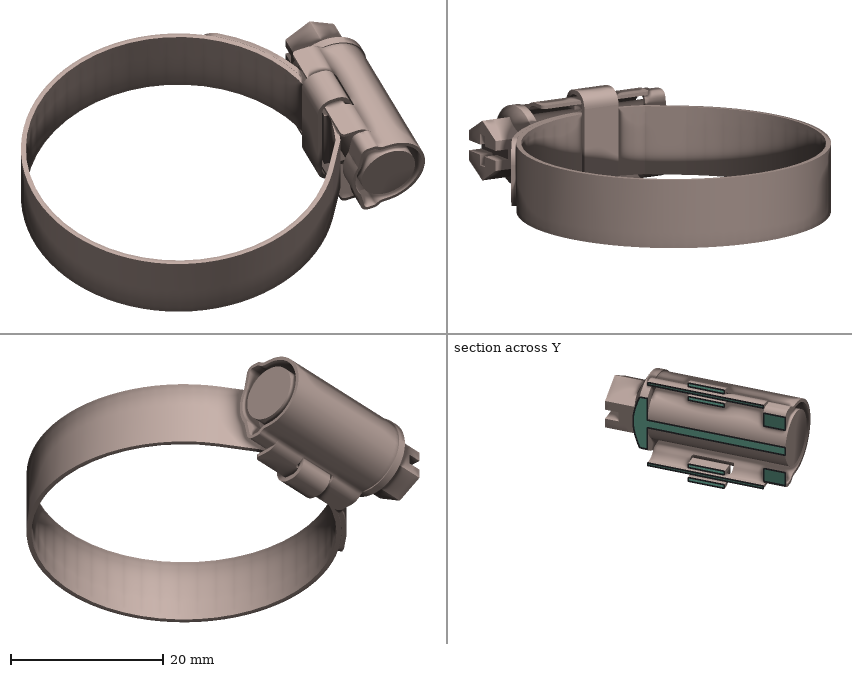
import cadquery as cq
import math


ring_radius = 20.7
band_thickness = 0.65
band_width = 9.2
lap_gap = 0.02
inner_end_angle = 83.0
ramp_start_angle = 360 + 55.0
ramp_end_angle = 360 + 70.3
tail_angle = 360 + 150.0
tail_corner_radius = 3.0

screw_axis_y = 25.25
screw_end_x = -14.41
hex_across_flats = 7.0
collar_radius = 5.45
collar_start_x = -9.43
collar_end_x = -8.32
collar_cone_angle = 30.0
cone_tip_radius = 3.0
slot_depth = 1.9
long_slot_width = 1.38
short_slot_width = 1.26
short_slot_length = 4.2
worm_radius = 3.85

sheet = 0.47
housing_end_x = 11.16
housing_radius = 5.27
wall_bend_y = 24.6
wall_crest_y = 23.8
flap_end_x = 8.05
flap_start_y = 22.1
flap_tip_y = 19.95
flap_height = 6.4
flap_corner_radius = 0.6
cuff_height = 5.84
cuff_start_y = 23.2
cuff_flat_end_y = 22.4
cuff_corner = (21.36, 5.0)
cuff_base_y = 20.07
window_length = 6.06
window_low_y = 22.55
window_high_y = 24.0
window_corner_radius = 0.3

bridge_width = 5.2
bridge_thickness = 0.62
bridge_low_y = 18.89
bridge_high_y = 23.62
bridge_height = 7.55
bridge_bend_radius = 2.07
bridge_tip_y = 21.45

ring_inner = ring_radius - band_thickness
lap_inner = ring_radius + lap_gap
lap_outer = lap_inner + band_thickness


def polar(radius, angle):
    turn = math.radians(angle)
    return (radius * math.cos(turn), radius * math.sin(turn))


def make_band():
    ring_mid = (inner_end_angle + ramp_start_angle) / 2
    lap_mid = (ramp_end_angle + tail_angle) / 2
    strip = (
        cq.Workplane("XY", origin=(0, 0, -band_width / 2))
        .moveTo(*polar(ring_inner, inner_end_angle))
        .threePointArc(polar(ring_inner, ring_mid), polar(ring_inner, ramp_start_angle))
        .lineTo(*polar(lap_inner, ramp_end_angle))
        .threePointArc(polar(lap_inner, lap_mid), polar(lap_inner, tail_angle))
        .lineTo(*polar(lap_outer, tail_angle))
        .threePointArc(polar(lap_outer, lap_mid), polar(lap_outer, ramp_end_angle))
        .lineTo(*polar(ring_radius, ramp_start_angle))
        .threePointArc(polar(ring_radius, ring_mid), polar(ring_radius, inner_end_angle))
        .close()
        .extrude(band_width)
    )
    tail_x, tail_y = polar((lap_inner + lap_outer) / 2, tail_angle)
    for side in (-1, 1):
        corner = cq.selectors.NearestToPointSelector((tail_x, tail_y, side * band_width / 2))
        strip = strip.edges(corner).fillet(tail_corner_radius)
    return strip


def make_screw():
    cone_length = (collar_radius - cone_tip_radius) * math.tan(math.radians(collar_cone_angle))
    turned = (
        cq.Workplane("XY", origin=(0, screw_axis_y, 0))
        .moveTo(collar_start_x - cone_length, 0)
        .lineTo(collar_start_x - cone_length, cone_tip_radius)
        .lineTo(collar_start_x, collar_radius)
        .lineTo(collar_end_x, collar_radius)
        .lineTo(collar_end_x, worm_radius)
        .lineTo(housing_end_x, worm_radius)
        .lineTo(housing_end_x, 0)
        .close()
        .revolve(360, (0, 0, 0), (1, 0, 0))
    )
    head_plane = cq.Workplane("YZ", origin=(screw_end_x, screw_axis_y, 0))
    hexagon = (
        head_plane
        .transformed(rotate=(0, 0, 90))
        .polygon(6, hex_across_flats / math.cos(math.pi / 6))
        .extrude(collar_end_x - screw_end_x)
    )
    long_slot = head_plane.rect(2 * hex_across_flats, long_slot_width).extrude(slot_depth)
    short_slot = head_plane.rect(short_slot_width, short_slot_length).extrude(slot_depth)
    return turned.union(hexagon).cut(long_slot).cut(short_slot)


class WallBend:
    """S-bend from the housing side out to a flat at the given height, as (Y, Z) points."""

    def __init__(self, flat_start_y, flat_height):
        rise = flat_height - housing_radius
        self.turn = 2 * math.atan(rise / (wall_bend_y - flat_start_y))
        self.flat_start_y = flat_start_y
        self.flat_height = flat_height
        self.hollow_radius = (wall_bend_y - wall_crest_y) / math.sin(self.turn)
        self.round_radius = (wall_crest_y - flat_start_y) / math.sin(self.turn)

    def hollow_point(self, angle, depth):
        radius = self.hollow_radius + depth
        centre_z = housing_radius + self.hollow_radius
        return (wall_bend_y - radius * math.sin(angle), centre_z - radius * math.cos(angle))

    def round_point(self, angle, depth):
        radius = self.round_radius - depth
        centre_z = self.flat_height - self.round_radius
        return (self.flat_start_y + radius * math.sin(angle), centre_z + radius * math.cos(angle))

    def draw_outward(self, path):
        half_turn = self.turn / 2
        return (
            path
            .threePointArc(self.hollow_point(half_turn, 0), self.hollow_point(self.turn, 0))
            .threePointArc(self.round_point(half_turn, 0), self.round_point(0, 0))
        )

    def draw_inward(self, path):
        half_turn = self.turn / 2
        return (
            path
            .threePointArc(self.round_point(half_turn, sheet), self.round_point(self.turn, sheet))
            .threePointArc(self.hollow_point(half_turn, sheet), self.hollow_point(0, sheet))
        )


def roof_point(angle, depth):
    y, z = polar(housing_radius - depth, angle)
    return (screw_axis_y + y, z)


def start_outer_wall(start_x):
    return (
        cq.Workplane("YZ", origin=(start_x, 0, 0))
        .moveTo(*roof_point(0, 0))
        .threePointArc(roof_point(45, 0), roof_point(90, 0))
        .lineTo(wall_bend_y, housing_radius)
    )


def close_inner_wall(path):
    return (
        path
        .lineTo(*roof_point(90, sheet))
        .threePointArc(roof_point(45, sheet), roof_point(0, sheet))
        .close()
    )


def mirrored(half):
    return half.union(half.mirror("XY"))


def make_flap_section():
    bend = WallBend(flap_start_y, flap_height)
    path = bend.draw_outward(start_outer_wall(collar_end_x))
    path = path.lineTo(flap_tip_y, flap_height).lineTo(flap_tip_y, flap_height - sheet)
    path = path.lineTo(flap_start_y, flap_height - sheet)
    half = close_inner_wall(bend.draw_inward(path)).extrude(flap_end_x - collar_end_x)
    half = half.faces("<Y").edges("|Z").fillet(flap_corner_radius)
    window = (
        cq.Workplane("XY")
        .center(0, (window_low_y + window_high_y) / 2)
        .rect(window_length, window_high_y - window_low_y)
        .extrude(2 * flap_height)
        .edges("|Z").fillet(window_corner_radius)
    )
    return mirrored(half.cut(window))


def make_cuff_section():
    bend = WallBend(cuff_start_y, cuff_height)
    corner_y, corner_z = cuff_corner
    corner_turn = 2 * math.atan((cuff_height - corner_z) / (cuff_flat_end_y - corner_y))
    corner_radius = (cuff_flat_end_y - corner_y) / math.sin(corner_turn)
    base_radius = screw_axis_y - cuff_base_y

    def corner_point(angle, depth):
        radius = corner_radius - depth
        centre_z = cuff_height - corner_radius
        return (cuff_flat_end_y - radius * math.sin(angle), centre_z + radius * math.cos(angle))

    def base_start_angle(depth):
        """Angle from -Y at which the flat running down from the corner meets the round base."""
        y, z = corner_point(corner_turn, depth)
        flat_distance = (screw_axis_y - y) * math.sin(corner_turn) + z * math.cos(corner_turn)
        return math.acos(flat_distance / (base_radius - depth)) + math.pi / 2 - corner_turn

    def base_point(angle, depth):
        radius = base_radius - depth
        return (screw_axis_y - radius * math.cos(angle), radius * math.sin(angle))

    outer_start = base_start_angle(0)
    inner_start = base_start_angle(sheet)
    path = bend.draw_outward(start_outer_wall(flap_end_x))
    path = (
        path
        .lineTo(cuff_flat_end_y, cuff_height)
        .threePointArc(corner_point(corner_turn / 2, 0), cuff_corner)
        .lineTo(*base_point(outer_start, 0))
        .threePointArc(base_point(outer_start / 2, 0), base_point(0, 0))
        .lineTo(*base_point(0, sheet))
        .threePointArc(base_point(inner_start / 2, sheet), base_point(inner_start, sheet))
        .lineTo(*corner_point(corner_turn, sheet))
        .threePointArc(corner_point(corner_turn / 2, sheet), corner_point(0, sheet))
        .lineTo(cuff_start_y, cuff_height - sheet)
    )
    return mirrored(close_inner_wall(bend.draw_inward(path)).extrude(housing_end_x - flap_end_x))


def make_housing():
    return make_flap_section().union(make_cuff_section())


def make_bridge():
    outer = bridge_bend_radius
    inner = outer - bridge_thickness
    bend_z = bridge_height - outer
    low_bend_y = bridge_low_y + outer
    high_bend_y = bridge_high_y - outer
    hook_y = bridge_high_y - bridge_thickness

    def bend_point(centre_y, radius, angle):
        y, z = polar(radius, angle)
        return (centre_y + y, bend_z + z)

    half = (
        cq.Workplane("YZ", origin=(-bridge_width / 2, 0, 0))
        .moveTo(bridge_low_y, 0)
        .lineTo(bridge_low_y, bend_z)
        .threePointArc(bend_point(low_bend_y, outer, 135), bend_point(low_bend_y, outer, 90))
        .lineTo(*bend_point(high_bend_y, outer, 90))
        .threePointArc(bend_point(high_bend_y, outer, 45), bend_point(high_bend_y, outer, 0))
        .threePointArc(bend_point(hook_y, bridge_thickness, -45), bend_point(hook_y, bridge_thickness, -90))
        .lineTo(bridge_tip_y, bend_z - bridge_thickness)
        .lineTo(bridge_tip_y, bend_z)
        .lineTo(hook_y, bend_z)
        .threePointArc(bend_point(high_bend_y, inner, 45), bend_point(high_bend_y, inner, 90))
        .lineTo(*bend_point(low_bend_y, inner, 90))
        .threePointArc(bend_point(low_bend_y, inner, 135), bend_point(low_bend_y, inner, 180))
        .lineTo(bridge_low_y + bridge_thickness, 0)
        .close()
        .extrude(bridge_width)
    )
    return mirrored(half)


band = make_band()
screw = make_screw()
housing = make_housing()
bridge = make_bridge()

bodies = [body.solids().val() for body in (band, screw, housing, bridge)]
result = cq.Compound.makeCompound(bodies)